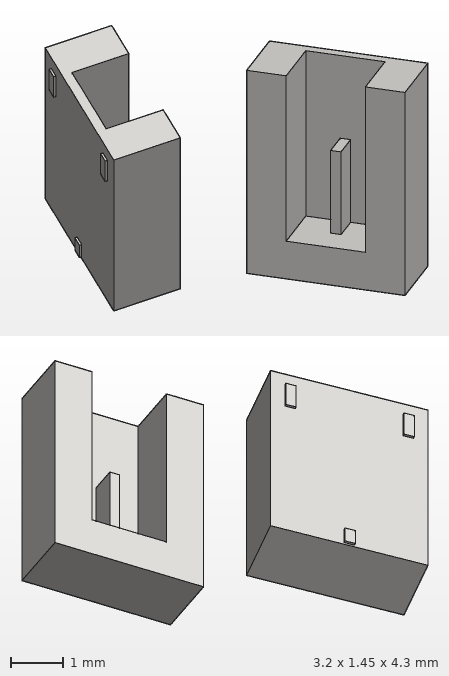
import cadquery as cq

width = 3.2
height = 4.3
overall_depth = 1.45
pad_thickness = 0.047
body_depth = overall_depth - pad_thickness

channel_width = width / 2
floor_thickness = 0.2
side_wall = (width - channel_width) / 2
end_wall = side_wall

contact_width = 0.21
blade_rise = 0.585
blade_length = (height - end_wall) / 2

side_pad_center = width / 2 - side_wall / 2
side_pad_length = 0.585
side_pad_top_gap = 0.3
tail_pad_length = 0.355
tail_pad_bottom_gap = 0.047


def box_centered_on_x(x_center, x_size, y_start, y_size, z_start, z_size):
    """Box centered on x_center, growing to +Y and +Z from its start positions."""
    return (
        cq.Workplane("XY")
        .box(x_size, y_size, z_size, centered=(True, False, False))
        .translate((x_center, y_start, z_start))
    )


def make_housing():
    block = box_centered_on_x(0, width, 0, body_depth, 0, height)
    channel = box_centered_on_x(
        0, channel_width,
        floor_thickness, body_depth - floor_thickness,
        end_wall, height - end_wall,
    )
    return block.cut(channel)


def make_blade():
    return box_centered_on_x(0, contact_width, floor_thickness, blade_rise, end_wall, blade_length)


def make_pad(x_center, z_start, length):
    return box_centered_on_x(x_center, contact_width, -pad_thickness, pad_thickness, z_start, length)


result = make_housing().union(make_blade())

side_pad_start = height - side_pad_top_gap - side_pad_length
for x_center in (-side_pad_center, side_pad_center):
    result = result.union(make_pad(x_center, side_pad_start, side_pad_length))

result = result.union(make_pad(0, tail_pad_bottom_gap, tail_pad_length))